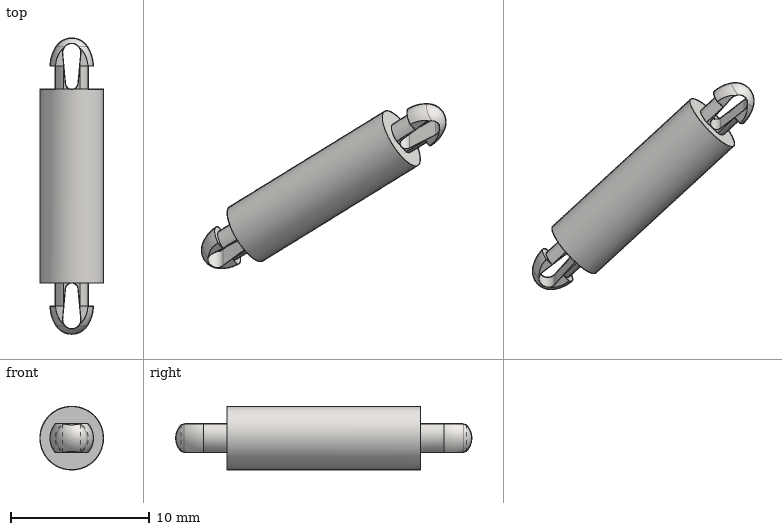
import cadquery as cq
import math

body_diameter = 4.6
body_length = 14.0

prong_length = 3.7
stem_radius = 1.2
stem_height = 1.67
head_base_radius = 1.57
nose_height = 0.6
nose_base_radius = 1.12
flat_thickness = 2.1

slot_inner_radius = 0.45
slot_outer_radius = 0.65
slot_tip_wall = 0.4

body_radius = body_diameter / 2
body_end = body_length / 2


def make_body():
    return cq.Workplane("XZ", origin=(0, body_end, 0)).circle(body_radius).extrude(body_length)


def make_prong_blank():
    """Stem and bullet-shaped head as one revolved profile."""
    stem_top = body_end + stem_height
    tip = body_end + prong_length
    nose_base = tip - nose_height

    nose_radius = (nose_base_radius**2 + nose_height**2) / (2 * nose_height)
    nose_center = tip - nose_radius
    join_angle = math.asin(nose_base_radius / nose_radius)
    mid_angle = join_angle / 2
    nose_middle = (
        nose_radius * math.sin(mid_angle),
        nose_center + nose_radius * math.cos(mid_angle),
    )

    return (
        cq.Workplane("XY")
        .moveTo(0, 0)
        .lineTo(0, tip)
        .threePointArc(nose_middle, (nose_base_radius, nose_base))
        .tangentArcPoint((head_base_radius, stem_top), relative=False)
        .lineTo(stem_radius, stem_top)
        .lineTo(stem_radius, 0)
        .close()
        .revolve(360, (0, 0, 0), (0, 1, 0))
    )


def make_slot():
    """Two circles of different radius joined by their common tangents, cut along Z."""
    inner_center = body_end + slot_inner_radius
    slot_end = body_end + prong_length - slot_tip_wall
    outer_center = slot_end - slot_outer_radius
    taper = math.asin((slot_outer_radius - slot_inner_radius) / (outer_center - inner_center))

    inner_x = slot_inner_radius * math.cos(taper)
    inner_y = inner_center - slot_inner_radius * math.sin(taper)
    outer_x = slot_outer_radius * math.cos(taper)
    outer_y = outer_center - slot_outer_radius * math.sin(taper)

    return (
        cq.Workplane("XY")
        .moveTo(inner_x, inner_y)
        .lineTo(outer_x, outer_y)
        .threePointArc((0, slot_end), (-outer_x, outer_y))
        .lineTo(-inner_x, inner_y)
        .threePointArc((0, body_end), (inner_x, inner_y))
        .close()
        .extrude(body_radius, both=True)
    )


def make_prong():
    """Prong on the +Y end, flattened above and below and slotted down the middle."""
    slab_length = 2 * (body_end + prong_length)
    slab = cq.Workplane("XY").box(body_diameter, slab_length, flat_thickness)
    return make_prong_blank().intersect(slab).cut(make_slot())


prong = make_prong()
result = make_body().union(prong).union(prong.mirror("XZ"))